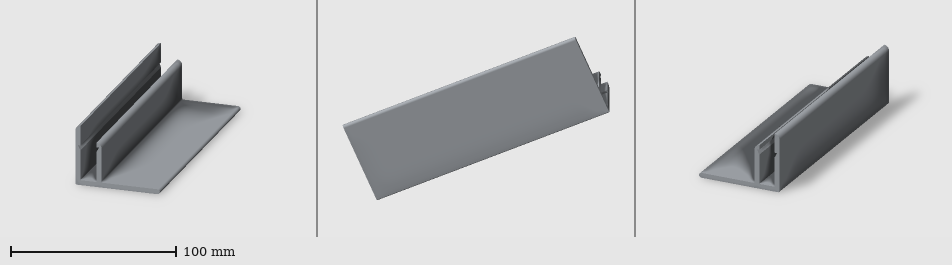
import cadquery as cq
import math

width = 53.975
length = 152.4
height = 38.1

wall = 3.175
slot_width = 10.28
short_wall_height = 28.575

wall_top_radius = wall
flange_edge_radius = wall / 2
small_radius = wall / 4

notch_top = 25.6
notch_height = wall
notch_depth = wall / 2

slot_left = wall
slot_right = slot_left + slot_width
short_wall_outer = slot_right + wall
notch_bottom = notch_top - notch_height


def round_corner(profile, corner, start_direction, end_direction, radius):
    """Run the outline up to a square corner and around it on a tangent arc.

    The two directions are unit vectors from the corner along its sides, in the order traced.
    """
    inset = radius * (1 - math.sqrt(0.5))
    start = (corner[0] + radius * start_direction[0], corner[1] + radius * start_direction[1])
    mid = (
        corner[0] + inset * (start_direction[0] + end_direction[0]),
        corner[1] + inset * (start_direction[1] + end_direction[1]),
    )
    end = (corner[0] + radius * end_direction[0], corner[1] + radius * end_direction[1])
    return profile.lineTo(*start).threePointArc(mid, end)


def section():
    """Cross-section in XZ, traced counter-clockwise from the outer face of the tall wall."""
    left, right, up, down = (-1, 0), (1, 0), (0, 1), (0, -1)
    profile = cq.Workplane("XZ").moveTo(0, height / 2)

    profile = round_corner(profile, (0, 0), up, right, small_radius)
    flange_end = width - flange_edge_radius
    profile = profile.lineTo(flange_end, 0).threePointArc((width, wall / 2), (flange_end, wall))

    profile = round_corner(profile, (short_wall_outer, wall), right, up, small_radius)
    profile = round_corner(profile, (short_wall_outer, short_wall_height), down, left, wall_top_radius)

    profile = (
        profile.lineTo(slot_right, notch_top)
        .lineTo(slot_right + notch_depth, notch_top)
        .lineTo(slot_right, notch_bottom)
        .lineTo(slot_right, wall)
        .lineTo(slot_left, wall)
        .lineTo(slot_left, notch_bottom)
        .lineTo(slot_left - notch_depth, notch_top)
        .lineTo(slot_left, notch_top)
    )

    profile = round_corner(profile, (0, height), right, down, wall_top_radius)
    return profile.close()


result = section().extrude(-length)